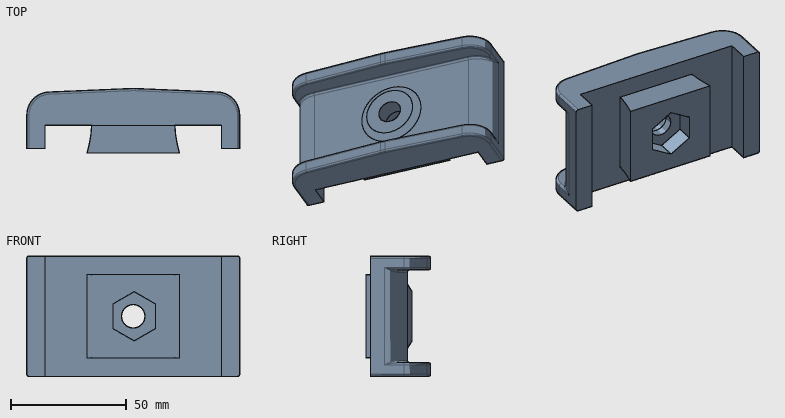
import cadquery as cq
import math


width = 92.0
height = 52.0
ridge_depth = 26.0
back_slope = math.radians(2.45)
corner_radius = 10.0
ridge_radius = 24.0
flange_thickness = 6.0
edge_fillet = 1.0

leg_thickness = 8.0
recess_depth = 10.0

web_thickness = 6.0
channel_floor = recess_depth + web_thickness

seat_height = 2.0
seat_base_radius = 13.8
seat_top_radius = 10.7
bolt_hole_diameter = 10.0

block_front_width = 40.0
block_neck_width = 36.0
block_height = 36.0
block_overhang = 2.0
block_depth = block_overhang + recess_depth
block_side_bow = 0.35

nut_across_flats = 18.4
nut_pocket_depth = 8.0
nut_offset = 0.4

half_width = width / 2
half_height = height / 2
channel_half_height = half_height - flange_thickness
cut_margin = 1.0


def cylinder_along_y(radius, start, end):
    """Cylinder on the bolt axis between two Y positions."""
    direction = cq.Vector(0, 1, 0)
    return cq.Workplane(cq.Solid.makeCylinder(radius, end - start, cq.Vector(0, start, 0), direction))


def make_cover_blank():
    """Full-height cover outline: flat front, rounded corners and a low ridge along the back."""
    ridge_arc_x = ridge_radius * math.sin(back_slope)
    ridge_arc_depth = ridge_depth - ridge_radius * (1 - math.cos(back_slope))
    eave_depth = ridge_arc_depth - (half_width - ridge_arc_x) * math.tan(back_slope)
    blank = (
        cq.Workplane("XY")
        .moveTo(-half_width, 0)
        .lineTo(half_width, 0)
        .lineTo(half_width, eave_depth)
        .lineTo(ridge_arc_x, ridge_arc_depth)
        .threePointArc((0, ridge_depth), (-ridge_arc_x, ridge_arc_depth))
        .lineTo(-half_width, eave_depth)
        .close()
        .extrude(half_height, both=True)
    )
    return blank.edges("|Z").edges("<X or >X").edges(">Y").fillet(corner_radius)


def make_channel():
    """Space between the flanges, above a floor that curves down to meet the two sides."""
    floor_end = half_width - corner_radius
    arc_center_depth = channel_floor - corner_radius
    arc_reach = corner_radius * math.sqrt(0.5)
    arc_mid_x = floor_end + arc_reach
    arc_mid_y = arc_center_depth + arc_reach
    channel_top = ridge_depth + cut_margin
    return (
        cq.Workplane("XY")
        .moveTo(half_width, arc_center_depth)
        .threePointArc((arc_mid_x, arc_mid_y), (floor_end, channel_floor))
        .lineTo(-floor_end, channel_floor)
        .threePointArc((-arc_mid_x, arc_mid_y), (-half_width, arc_center_depth))
        .lineTo(-half_width, channel_top)
        .lineTo(half_width, channel_top)
        .close()
        .extrude(channel_half_height, both=True)
    )


def edges_between(body, level, low_y, high_y):
    """Edges at the height Z = level whose centers lie between two Y positions."""
    tolerance = 0.01
    low_corner = (-width, low_y - tolerance, level - tolerance)
    high_corner = (width, high_y + tolerance, level + tolerance)
    return body.edges(cq.selectors.BoxSelector(low_corner, high_corner)).vals()


def round_flanges(body):
    """Round both rims of each flange, then the inside corners along the channel floor.

    Each fillet follows the smooth chain of edges, so it also runs down the sides.
    """
    rim_edges = []
    for level in (-half_height, -channel_half_height, channel_half_height, half_height):
        rim_edges += edges_between(body, level, channel_floor + edge_fillet, ridge_depth)
    body = body.newObject(rim_edges).fillet(edge_fillet)

    floor_edges = []
    for level in (-channel_half_height, channel_half_height):
        floor_edges += edges_between(body, level, channel_floor, channel_floor)
    return body.newObject(floor_edges).fillet(edge_fillet)


def make_recess():
    return cq.Workplane("XY").box(
        width - 2 * leg_thickness, recess_depth, height, centered=(True, False, True)
    )


def make_seat():
    seat = cq.Solid.makeCone(
        seat_base_radius,
        seat_top_radius,
        seat_height,
        cq.Vector(0, channel_floor, 0),
        cq.Vector(0, 1, 0),
    )
    return cq.Workplane(seat)


def make_cover():
    cover = round_flanges(make_cover_blank().cut(make_channel()))
    cover = cover.cut(make_recess()).union(make_seat())
    return cover.cut(cylinder_along_y(bolt_hole_diameter / 2, 0, ridge_depth))


def make_nut_pocket():
    across_corners = nut_across_flats / math.cos(math.pi / 6)
    return (
        cq.Workplane("XZ", origin=(nut_offset, -block_overhang, 0))
        .transformed(rotate=(0, 0, 90))
        .polygon(6, across_corners)
        .extrude(-nut_pocket_depth)
    )


def make_block():
    """Block that fills the recess depth, narrowing from its front to the recess floor."""
    front_x = block_front_width / 2
    neck_x = block_neck_width / 2
    side_dx = front_x - neck_x
    side_length = math.hypot(side_dx, block_depth)
    bow_x = (front_x + neck_x) / 2 - block_side_bow * block_depth / side_length
    bow_y = recess_depth - block_depth / 2 - block_side_bow * side_dx / side_length
    block = (
        cq.Workplane("XY")
        .moveTo(-front_x, -block_overhang)
        .lineTo(front_x, -block_overhang)
        .threePointArc((bow_x, bow_y), (neck_x, recess_depth))
        .lineTo(-neck_x, recess_depth)
        .threePointArc((-bow_x, bow_y), (-front_x, -block_overhang))
        .close()
        .extrude(block_height / 2, both=True)
    )
    block = block.cut(make_nut_pocket())
    return block.cut(cylinder_along_y(bolt_hole_diameter / 2, -block_overhang, recess_depth))


cover = make_cover()
block = make_block()
result = cq.Compound.makeCompound([cover.val(), block.val()])